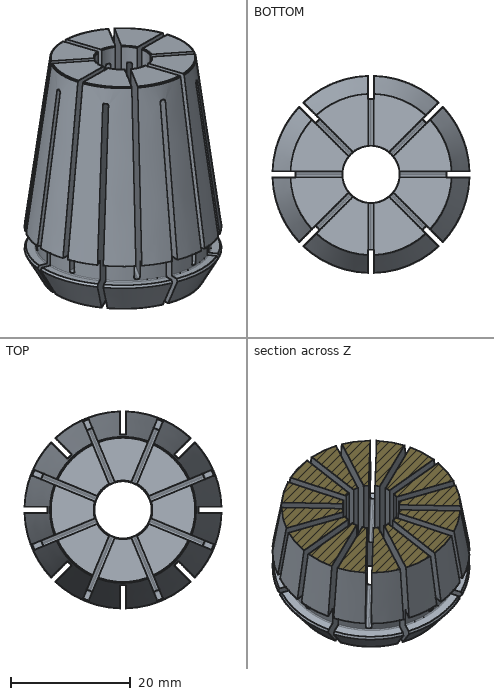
import cadquery as cq

height = 40.0
max_diameter = 32.95
bore_diameter = 9.5

taper_top_diameter = 24.4
taper_base_height = 9.1
top_chamfer = 0.2

groove_diameter = 29.2
groove_fillet = 0.15
flange_top_height = 5.55
flange_top_chamfer_width = 0.3
flange_top_chamfer_height = 0.45
nose_diameter = 27.1
nose_chamfer = 0.1
bore_chamfer = 0.15

slots_per_set = 8
slot_width = 1.0
slot_corner_radius = 0.4
lower_slot_tip_height = 37.05
upper_slot_tip_height = 5.9

max_radius = max_diameter / 2
groove_radius = groove_diameter / 2
bore_radius = bore_diameter / 2
slot_pitch = 360 / slots_per_set


def collet_body():
    """Revolved body with the bore, the filleted groove and the edge chamfers."""
    top_radius = taper_top_diameter / 2
    nose_radius = nose_diameter / 2
    taper_slope = (max_radius - top_radius) / (height - taper_base_height)
    chamfer_outer_radius = top_radius + top_chamfer * taper_slope
    lower_profile = [
        (bore_radius, 0),
        (nose_radius - nose_chamfer, 0),
        (nose_radius, nose_chamfer),
        (max_radius, flange_top_height - flange_top_chamfer_height),
        (max_radius - flange_top_chamfer_width, flange_top_height),
        (groove_radius + groove_fillet, flange_top_height),
    ]
    upper_profile = [
        (groove_radius, taper_base_height),
        (max_radius, taper_base_height),
        (chamfer_outer_radius, height - top_chamfer),
        (chamfer_outer_radius - top_chamfer, height),
        (bore_radius + bore_chamfer, height),
        (bore_radius, height - bore_chamfer),
    ]
    return (
        cq.Workplane("XZ")
        .polyline(lower_profile)
        .tangentArcPoint((groove_radius, flange_top_height + groove_fillet), relative=False)
        .polyline(upper_profile, includeCurrent=True)
        .close()
        .revolve(360, (0, 0), (0, 1))
    )


def slot_cutter(tip_height, open_height, tip_side, angle):
    """Radial blade with rounded tip corners, from the axis out past the body."""
    return (
        cq.Workplane("YZ")
        .center(0, (tip_height + open_height) / 2)
        .rect(slot_width, abs(open_height - tip_height))
        .extrude(max_diameter)
        .faces(tip_side)
        .edges("|X")
        .fillet(slot_corner_radius)
        .rotate((0, 0, 0), (0, 0, 1), angle)
    )


result = collet_body()
for index in range(slots_per_set):
    lower_angle = index * slot_pitch
    upper_angle = lower_angle + slot_pitch / 2
    result = result.cut(slot_cutter(lower_slot_tip_height, 0, ">Z", lower_angle))
    result = result.cut(slot_cutter(upper_slot_tip_height, height, "<Z", upper_angle))